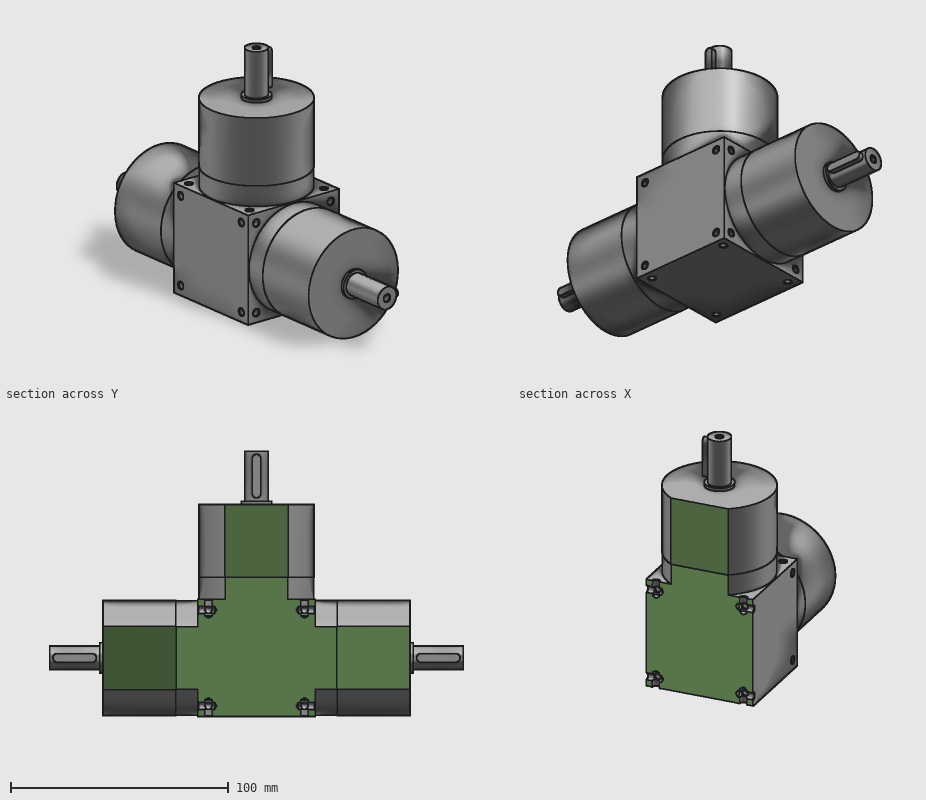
import cadquery as cq
import math

cube_side = 54.0
cube_half = cube_side / 2

shaft_length = 23.0
collar_length = 1.5
drum_length = 33.5
shaft_end = 95.0
collar_end = shaft_end - shaft_length
drum_end = collar_end - collar_length
boss_end = drum_end - drum_length

boss_diameter = 52.8
drum_diameter = 53.0
collar_diameter = 14.0
shaft_diameter = 11.0

hole_diameter = 3.2
countersink_diameter = 4.0
hole_depth = 7.6
drill_point_angle = 118
screw_spacing = 44.0

key_width = 4.0
key_length = 20.0
key_top = 7.8
key_end_gap = 1.5

X_AXIS = (1, 0, 0)
Y_AXIS = (0, 1, 0)

output_angles = [0, 90, -90]


def turned(body, axis, angle):
    """Copy of a body rotated about an axis through the cube centre."""
    return body.rotate((0, 0, 0), axis, angle)


def cylinder(diameter, bottom, top):
    """Cylinder on the Z axis between two heights."""
    return cq.Workplane("XY").workplane(offset=bottom).circle(diameter / 2).extrude(top - bottom)


def drilled_hole(mouth):
    """Cutter on the Z axis for a countersunk blind hole drilled down from the mouth height."""
    radius = hole_diameter / 2
    countersink_radius = countersink_diameter / 2
    countersink_bottom = mouth - (countersink_radius - radius)
    bore_bottom = mouth - hole_depth
    point_length = radius / math.tan(math.radians(drill_point_angle / 2))
    profile = (
        cq.Workplane("XZ")
        .moveTo(0, mouth)
        .lineTo(countersink_radius, mouth)
        .lineTo(radius, countersink_bottom)
        .lineTo(radius, bore_bottom)
        .lineTo(0, bore_bottom - point_length)
        .close()
    )
    return profile.revolve(360, (0, 0, 0), (0, 1, 0))


def screw_holes():
    """Cutters for the four corner holes of the +Z cube face."""
    hole = drilled_hole(cube_half).val()
    corners = cq.Workplane("XY").rect(screw_spacing, screw_spacing, forConstruction=True).vertices()
    return corners.eachpoint(lambda corner: hole.moved(corner))


def make_housing():
    """Cube with three round bosses and four screw holes in every face."""
    body = cq.Workplane("XY").box(cube_side, cube_side, cube_side)

    boss = cylinder(boss_diameter, 0, boss_end)
    for angle in output_angles:
        body = body.union(turned(boss, Y_AXIS, angle))

    holes = screw_holes()
    for angle in (0, 90, 180, -90):
        body = body.cut(turned(holes, Y_AXIS, angle))
    for angle in (90, -90):
        body = body.cut(turned(holes, X_AXIS, angle))
    return body


def make_key():
    """Round-ended key reaching from the shaft axis to the key top, on the +Y side."""
    key_middle = shaft_end - key_end_gap - key_length / 2
    return (
        cq.Workplane("XZ")
        .center(0, key_middle)
        .slot2D(key_length, key_width, 90)
        .extrude(-key_top)
    )


def make_gearhead():
    """Drum, collar and keyed shaft pointing along +Z, centre-drilled at the shaft end."""
    drum = cylinder(drum_diameter, boss_end, drum_end)
    collar = cylinder(collar_diameter, drum_end, collar_end)
    shaft = cylinder(shaft_diameter, collar_end, shaft_end)
    body = drum.union(collar).union(shaft).union(make_key())
    return body.cut(drilled_hole(shaft_end))


housing = make_housing()
gearhead = make_gearhead()
gearheads = [turned(gearhead, Y_AXIS, angle) for angle in output_angles]

result = cq.Compound.makeCompound([housing.val(), *[body.val() for body in gearheads]])